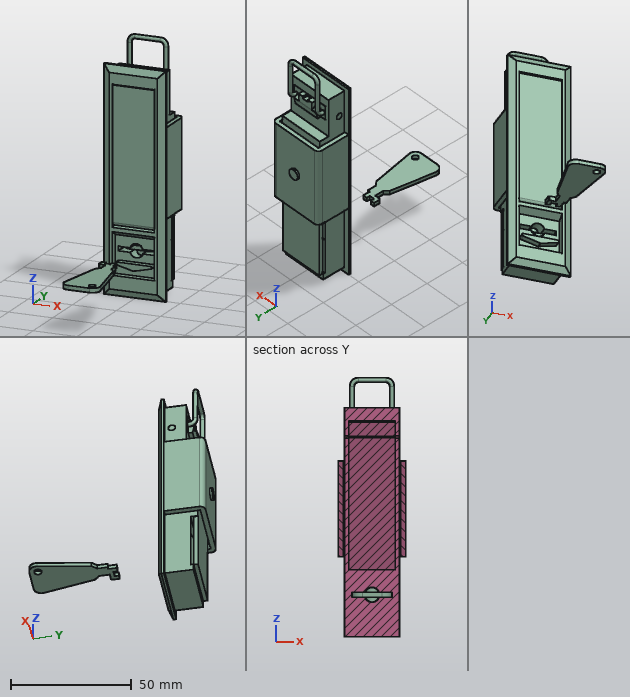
import cadquery as cq
import math


BEZEL_WIDTH = 28.0
BEZEL_HEIGHT = 100.0
BEZEL_BACK = 2.8
BEZEL_RIM_FRONT = 1.6
BEZEL_BORDER = 3.1
HOUSING_WIDTH = 22.9
HOUSING_BOTTOM = 2.5
HOUSING_TOP = 97.6
FOOT_BACK = 14.7
REAR_BACK = 16.6
REAR_BOTTOM = 5.6
REAR_TOP = 78.0
REAR_INSET = 0.3
HEAD_BACK = 11.7

SLOT_FRONT = 13.5
SLOT_TOP = 33.1
SLOT_WINDOW_BOTTOM = 23.3
SLOT_POCKET_DEPTH = 4.4

LEVER_WIDTH = 19.0
LEVER_FRONT = 0.4
LEVER_BACK = 8.2
LEVER_BOTTOM = 30.5
LEVER_LIP_RADIUS = 1.5
SILL_DEPTH = LEVER_FRONT + LEVER_LIP_RADIUS
LEVER_TOP = 91.5
LEVER_GAP = 0.4
RECESS_SILL = 29.9
TAB_BOTTOM = 85.8
TAB_TOP = 93.1
TAB_BACK = 14.2
TAB_TAPER_TOP = 89.1
TAB_TAPER = 0.7
TAB_WIDTH = 8.0
TAB_NOTCH_WIDTH = 3.1
TAB_NOTCH_DEPTH = 1.1
FLANK_WIDTH = 13.6
FLANK_TOP = 90.2
FLANK_LEDGE_BACK = 12.5

PIN_DIAMETER = 3.0
PIN_Y = 5.6
PIN_Z = 85.5

LOCK_WIDTH = LEVER_WIDTH
LOCK_BOTTOM = 9.1
LOCK_TOP = 28.0
LOCK_ROOF_DROP = 2.1
LOCK_FLOOR = 3.2
KEY_Z = 20.0
KEY_THICKNESS = 2.0
KEYHOLE_DIAMETER = 6.0
KEYHOLE_WIDTH = 16.4
KEYHOLE_FLOOR = 11.5
POST_DIAMETER = 4.8
POST_FRONT = 7.6
BAR_FRONT = 7.3
BAR_ROUNDING = 4.1
GRIP_FRONT = 0.2
GRIP_WIDTH = 16.5
GRIP_TOP = 15.1
GRIP_TIP = 12.0
GRIP_END_HEIGHT = 1.2

BRACKET_BOTTOM = 35.8
BRACKET_TOP = 75.5
BRACKET_BACK = 19.9
BRACKET_INNER_BACK = 17.7
BRACKET_INNER_WIDTH = 23.5
BRACKET_ROUNDING = 2.3
BOSS_DIAMETER = 5.2
BOSS_BACK = 20.9

WIRE_DIAMETER = 2.0
WIRE_TOP = 110.0
WIRE_SPACING = 16.5
WIRE_Y = 15.0
WIRE_CORNER = 2.5
WIRE_FOOT_BEND = 2.9
WIRE_FOOT_Z = 89.2
WIRE_FOOT_END = 10.6

KEY_TIP = -19.5
KEY_END = -55.7
KEY_NOTCH_END = -21.2
KEY_BIT_END = -23.1
KEY_STEM_END = -27.5
KEY_SHOULDER = -29.6
KEY_BIT_LEFT = -5.5
KEY_NOTCH_LEFT = -3.5
KEY_NOTCH_RIGHT = -1.0
KEY_BIT_RIGHT = 1.2
KEY_STEM_HALF = 2.3
KEY_SHOULDER_HALF = 4.2
KEY_END_HALF = 8.8
KEY_CORNER = 3.3
KEY_BIT_CHAMFER = 0.5
KEY_RING_DIAMETER = 3.0
KEY_RING_X = 4.6
KEY_RING_Y = -52.0


def box(width, y_range, z_range):
    """Block centred on X that spans the given Y and Z ranges."""
    y0, y1 = y_range
    z0, z1 = z_range
    base = cq.Workplane("XY", origin=(0, y0, z0))
    return base.box(width, y1 - y0, z1 - z0, centered=(True, False, False))


def side_prism(width, points):
    """Prism centred on X with a (Y, Z) outline."""
    return cq.Workplane("YZ").polyline(points).close().extrude(width / 2, both=True)


def y_rod(diameter, z, y_range):
    """Round rod along Y at X = 0."""
    y0, y1 = y_range
    return cq.Workplane("XZ", origin=(0, y0, z)).circle(diameter / 2).extrude(y0 - y1)


def pivot_rod():
    """Rod along X across the full housing width."""
    plane = cq.Workplane("YZ").center(PIN_Y, PIN_Z)
    return plane.circle(PIN_DIAMETER / 2).extrude(HOUSING_WIDTH / 2, both=True)


def make_bezel():
    rim = box(BEZEL_WIDTH, (BEZEL_RIM_FRONT, BEZEL_BACK), (0, BEZEL_HEIGHT))
    slope = (
        cq.Workplane("XZ", origin=(0, BEZEL_RIM_FRONT, BEZEL_HEIGHT / 2))
        .rect(BEZEL_WIDTH, BEZEL_HEIGHT)
        .workplane(offset=BEZEL_RIM_FRONT)
        .rect(BEZEL_WIDTH - 2 * BEZEL_BORDER, BEZEL_HEIGHT - 2 * BEZEL_BORDER)
        .loft()
    )
    return rim.union(slope)


def make_housing_block():
    outline = [
        (BEZEL_RIM_FRONT, HOUSING_BOTTOM),
        (FOOT_BACK, HOUSING_BOTTOM),
        (FOOT_BACK, REAR_BOTTOM),
        (REAR_BACK, REAR_BOTTOM),
        (REAR_BACK, REAR_TOP),
        (HEAD_BACK, REAR_TOP),
        (HEAD_BACK, HOUSING_TOP),
        (BEZEL_RIM_FRONT, HOUSING_TOP),
    ]
    return side_prism(HOUSING_WIDTH, outline)


def make_lever_recess():
    recess = side_prism(
        LEVER_WIDTH,
        [
            (0, RECESS_SILL),
            (SILL_DEPTH, LEVER_BOTTOM),
            (LEVER_BACK, LEVER_BOTTOM),
            (LEVER_BACK, LEVER_TOP + LEVER_GAP),
            (0, LEVER_TOP + LEVER_GAP),
        ],
    )
    return recess.union(box(LEVER_WIDTH, (LEVER_BACK, HEAD_BACK), (TAB_BOTTOM, TAB_TOP)))


def make_lock_recess():
    return side_prism(
        LOCK_WIDTH,
        [
            (0, LOCK_BOTTOM),
            (LOCK_FLOOR, LOCK_BOTTOM),
            (LOCK_FLOOR, LOCK_TOP - LOCK_ROOF_DROP),
            (0, LOCK_TOP),
        ],
    )


def make_keyhole():
    """Round hole with a wide slot, floored by an upright post and a round-ended bar."""
    slot_range = (KEY_Z - KEY_THICKNESS / 2, KEY_Z + KEY_THICKNESS / 2)
    round_hole = y_rod(KEYHOLE_DIAMETER, KEY_Z, (LOCK_FLOOR, KEYHOLE_FLOOR))
    slot = box(KEYHOLE_WIDTH, (LOCK_FLOOR, KEYHOLE_FLOOR), slot_range)
    post = (
        cq.Workplane("XY", origin=(0, POST_FRONT + POST_DIAMETER / 2, KEY_Z))
        .circle(POST_DIAMETER / 2)
        .extrude(KEYHOLE_DIAMETER / 2, both=True)
    )
    bar = box(KEYHOLE_WIDTH, (BAR_FRONT, KEYHOLE_FLOOR), slot_range)
    bar = bar.edges("|Z and <Y").fillet(BAR_ROUNDING)
    return round_hole.union(slot).cut(post).cut(bar)


def make_grip():
    """Arrow-shaped finger grip standing on the lock recess floor."""
    half = GRIP_WIDTH / 2
    shoulder = GRIP_TOP - GRIP_END_HEIGHT
    return (
        cq.Workplane("XZ", origin=(0, LOCK_FLOOR, 0))
        .moveTo(-half + GRIP_END_HEIGHT / 2, GRIP_TOP)
        .lineTo(half - GRIP_END_HEIGHT / 2, GRIP_TOP)
        .threePointArc((half, GRIP_TOP - GRIP_END_HEIGHT / 2), (half - GRIP_END_HEIGHT / 2, shoulder))
        .lineTo(0, GRIP_TIP)
        .lineTo(-half + GRIP_END_HEIGHT / 2, shoulder)
        .threePointArc((-half, GRIP_TOP - GRIP_END_HEIGHT / 2), (-half + GRIP_END_HEIGHT / 2, GRIP_TOP))
        .close()
        .extrude(LOCK_FLOOR - GRIP_FRONT)
    )


def make_side_slots():
    """Window right through the housing, with a ramped pocket below it on each side."""
    slots = box(HOUSING_WIDTH, (SLOT_FRONT, FOOT_BACK), (SLOT_WINDOW_BOTTOM, SLOT_TOP))
    outer = HOUSING_WIDTH / 2
    for side in (-1, 1):
        pocket = (
            cq.Workplane("XY", origin=(0, 0, REAR_BOTTOM))
            .polyline(
                [
                    (side * outer, SLOT_FRONT),
                    (side * outer, FOOT_BACK),
                    (side * (outer - SLOT_POCKET_DEPTH), FOOT_BACK),
                ]
            )
            .close()
            .extrude(SLOT_WINDOW_BOTTOM - REAR_BOTTOM)
        )
        slots = slots.union(pocket)
    return slots


def make_rear_inset():
    """Thin slices that make the rear plate beside the slots slightly narrower."""
    span = box(HOUSING_WIDTH, (FOOT_BACK, REAR_BACK), (REAR_BOTTOM, SLOT_TOP))
    kept = box(HOUSING_WIDTH - 2 * REAR_INSET, (FOOT_BACK, REAR_BACK), (REAR_BOTTOM, SLOT_TOP))
    return span.cut(kept)


def make_housing():
    housing = make_bezel().union(make_housing_block())
    housing = housing.cut(make_lever_recess()).cut(make_lock_recess())
    housing = housing.cut(make_keyhole()).cut(make_side_slots())
    housing = housing.cut(make_rear_inset()).cut(pivot_rod())
    return housing.union(make_grip())


def make_bracket():
    middle_z = (BRACKET_BOTTOM + BRACKET_TOP) / 2
    bracket = box(BEZEL_WIDTH, (BEZEL_BACK, BRACKET_BACK), (BRACKET_BOTTOM, BRACKET_TOP))
    bracket = bracket.edges("|Z and >Y").fillet(BRACKET_ROUNDING)
    bracket = bracket.cut(
        box(BRACKET_INNER_WIDTH, (BEZEL_BACK, BRACKET_INNER_BACK), (BRACKET_BOTTOM, BRACKET_TOP))
    )
    return bracket.union(y_rod(BOSS_DIAMETER, middle_z, (BRACKET_INNER_BACK, BOSS_BACK)))


def make_lever_tab():
    """Rear tab of the lever: a notched centre block between two lower flanks."""
    root = box(LEVER_WIDTH, (LEVER_BACK, HEAD_BACK), (TAB_BOTTOM, TAB_TOP))
    centre = side_prism(
        TAB_WIDTH,
        [
            (HEAD_BACK, TAB_BOTTOM),
            (TAB_BACK - TAB_TAPER, TAB_BOTTOM),
            (TAB_BACK, TAB_TAPER_TOP),
            (TAB_BACK, TAB_TOP),
            (HEAD_BACK, TAB_TOP),
        ],
    )
    notch = box(TAB_NOTCH_WIDTH, (HEAD_BACK, TAB_BACK), (TAB_TOP - TAB_NOTCH_DEPTH, TAB_TOP))
    flanks = side_prism(
        FLANK_WIDTH,
        [
            (HEAD_BACK, TAB_BOTTOM),
            (TAB_BACK - TAB_TAPER, TAB_BOTTOM),
            (TAB_BACK, TAB_TAPER_TOP),
            (FLANK_LEDGE_BACK, FLANK_TOP),
            (HEAD_BACK, FLANK_TOP),
        ],
    )
    return root.union(centre.cut(notch)).union(flanks)


def make_lever(wire):
    panel = box(LEVER_WIDTH, (LEVER_FRONT, LEVER_BACK), (LEVER_BOTTOM, LEVER_TOP))
    panel = panel.edges("|X and <Y and <Z").fillet(LEVER_LIP_RADIUS)
    return panel.union(make_lever_tab()).cut(pivot_rod()).cut(wire)


def make_wire():
    """Round-wire bail whose two feet bend forward into the lever."""
    leg_x = WIRE_SPACING / 2
    top_z = WIRE_TOP - WIRE_DIAMETER / 2
    foot_y = WIRE_Y - WIRE_FOOT_BEND
    leg_bottom = WIRE_FOOT_Z + WIRE_FOOT_BEND
    leg_top = top_z - WIRE_CORNER
    diagonal = math.sqrt(0.5)
    foot_mid_y = foot_y + WIRE_FOOT_BEND * diagonal
    foot_mid_z = leg_bottom - WIRE_FOOT_BEND * diagonal
    corner_x = leg_x - WIRE_CORNER
    corner_mid_x = corner_x + WIRE_CORNER * diagonal
    corner_mid_z = leg_top + WIRE_CORNER * diagonal

    def line(start, end):
        return cq.Edge.makeLine(cq.Vector(*start), cq.Vector(*end))

    def arc(start, middle, end):
        return cq.Edge.makeThreePointArc(cq.Vector(*start), cq.Vector(*middle), cq.Vector(*end))

    path = cq.Wire.assembleEdges(
        [
            line((-leg_x, WIRE_FOOT_END, WIRE_FOOT_Z), (-leg_x, foot_y, WIRE_FOOT_Z)),
            arc(
                (-leg_x, foot_y, WIRE_FOOT_Z),
                (-leg_x, foot_mid_y, foot_mid_z),
                (-leg_x, WIRE_Y, leg_bottom),
            ),
            line((-leg_x, WIRE_Y, leg_bottom), (-leg_x, WIRE_Y, leg_top)),
            arc(
                (-leg_x, WIRE_Y, leg_top),
                (-corner_mid_x, WIRE_Y, corner_mid_z),
                (-corner_x, WIRE_Y, top_z),
            ),
            line((-corner_x, WIRE_Y, top_z), (corner_x, WIRE_Y, top_z)),
            arc(
                (corner_x, WIRE_Y, top_z),
                (corner_mid_x, WIRE_Y, corner_mid_z),
                (leg_x, WIRE_Y, leg_top),
            ),
            line((leg_x, WIRE_Y, leg_top), (leg_x, WIRE_Y, leg_bottom)),
            arc(
                (leg_x, WIRE_Y, leg_bottom),
                (leg_x, foot_mid_y, foot_mid_z),
                (leg_x, foot_y, WIRE_FOOT_Z),
            ),
            line((leg_x, foot_y, WIRE_FOOT_Z), (leg_x, WIRE_FOOT_END, WIRE_FOOT_Z)),
        ]
    )
    section = cq.Workplane("XZ", origin=(-leg_x, WIRE_FOOT_END, WIRE_FOOT_Z)).circle(WIRE_DIAMETER / 2)
    return section.sweep(cq.Workplane(path))


def make_key():
    outline = [
        (KEY_BIT_LEFT, KEY_TIP),
        (KEY_NOTCH_LEFT, KEY_TIP),
        (KEY_NOTCH_LEFT, KEY_NOTCH_END),
        (KEY_NOTCH_RIGHT, KEY_NOTCH_END),
        (KEY_NOTCH_RIGHT, KEY_TIP),
        (KEY_BIT_RIGHT, KEY_TIP),
        (KEY_BIT_RIGHT, KEY_BIT_END),
        (KEY_STEM_HALF, KEY_BIT_END),
        (KEY_STEM_HALF, KEY_STEM_END),
        (KEY_SHOULDER_HALF, KEY_SHOULDER),
        (KEY_END_HALF, KEY_END),
        (-KEY_END_HALF, KEY_END),
        (-KEY_SHOULDER_HALF, KEY_SHOULDER),
        (-KEY_STEM_HALF, KEY_STEM_END),
        (-KEY_STEM_HALF, KEY_BIT_END),
        (KEY_BIT_LEFT + KEY_BIT_CHAMFER, KEY_BIT_END),
        (KEY_BIT_LEFT, KEY_BIT_END + KEY_BIT_CHAMFER),
    ]
    base = cq.Workplane("XY", origin=(0, 0, KEY_Z - KEY_THICKNESS / 2))
    blade = base.polyline(outline).close().extrude(KEY_THICKNESS)
    blade = blade.edges("|Z and <Y").fillet(KEY_CORNER)
    ring_hole = base.center(KEY_RING_X, KEY_RING_Y).circle(KEY_RING_DIAMETER / 2).extrude(KEY_THICKNESS)
    return blade.cut(ring_hole)


housing = make_housing()
bracket = make_bracket()
pin = pivot_rod()
wire = make_wire()
lever = make_lever(wire)
key = make_key()

bodies = [housing, bracket, pin, wire, lever, key]
result = cq.Compound.makeCompound([body.solids().val() for body in bodies])